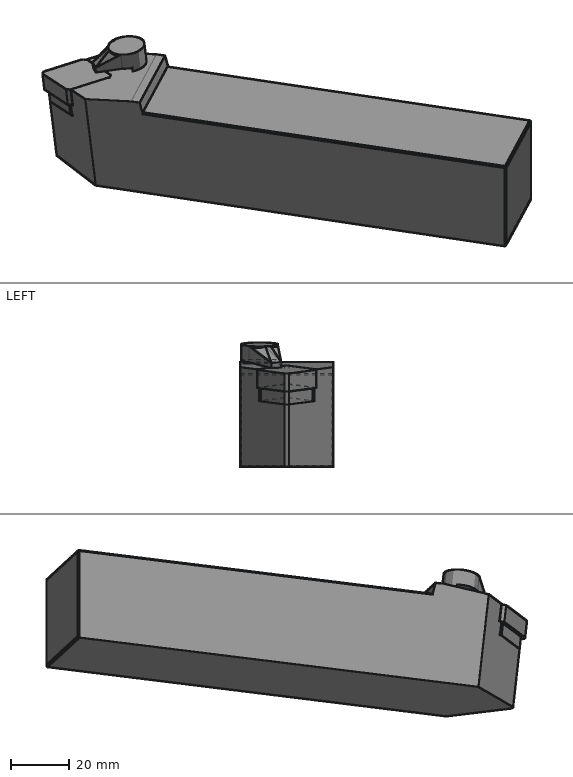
import cadquery as cq
import math

total_length = 169.5
shank_width = 32.0
shank_height = 32.0
head_flat_start = 36.0
head_step_top = 39.0
head_step_bottom = 40.0
shank_chamfer = 0.5

tilt = 6.3
tip_height = shank_height
nose_half_angle = 40.0
corner_half_flat = 0.76
clear_length = 84.8
holder_setback = 1.5

insert_center = 12.0
insert_thickness = 6.3
seat_thickness = 4.5

clamp_x = 28.0
clamp_y = 9.3
clamp_radius = 6.3
clamp_top = 7.0
clamp_bottom = 1.4
clamp_post_start = 31.0
post_depth = 1.7
finger_angles = (145.0, 198.0, 217.0, 268.0)
finger_tip_upper = (16.5, 5.3)
finger_tip_lower = (18.5, 1.9)
finger_tip_height = 1.9

nose_slope = math.tan(math.radians(nose_half_angle))
tilt_radians = math.radians(tilt)
head_height = tip_height + head_flat_start * math.tan(tilt_radians)
head_plane = cq.Plane(
    origin=(0, 0, tip_height),
    xDir=(math.cos(tilt_radians), 0, math.sin(tilt_radians)),
    normal=(-math.sin(tilt_radians), 0, math.cos(tilt_radians)),
)


def diamond(setback, thickness, top, blunt_sides=True):
    """Diamond plate in the head frame; its nose and heel are cut flat, its sides optionally."""
    half_length = insert_center - setback
    half_width = nose_slope * half_length + corner_half_flat
    side_cut = corner_half_flat if blunt_sides else 0.0
    side_y = half_width - side_cut
    side_x = side_cut / nose_slope
    sides = [(side_x, side_y), (-side_x, side_y)] if blunt_sides else [(0, side_y)]
    upper = [(half_length, corner_half_flat), *sides, (-half_length, corner_half_flat)]
    lower = [(x, -y) for x, y in reversed(upper)]
    points = [(x + insert_center, y) for x, y in upper + lower]
    return (
        cq.Workplane(head_plane).workplane(offset=top)
        .polyline(points).close().extrude(-thickness)
    )


def make_insert(blunt_sides=True):
    """Cutting plate and the narrower seat below it."""
    plate = diamond(0.0, insert_thickness, 0.0, blunt_sides)
    seat = diamond(holder_setback, seat_thickness, -insert_thickness, blunt_sides)
    return plate.union(seat)


def make_bar():
    """Square shank with the raised, tilted and pointed head."""
    slope_start_x = -clear_length
    slope_start_z = tip_height - clear_length * math.tan(tilt_radians)
    head = (
        cq.Workplane("XZ")
        .polyline([
            (slope_start_x, 0), (slope_start_x, slope_start_z), (head_flat_start, head_height),
            (head_step_top, head_height), (head_step_bottom, shank_height), (head_step_bottom, 0),
        ])
        .close().extrude(shank_width / 2, both=True)
    )
    shank = (
        cq.Workplane("XY")
        .box(total_length - head_step_bottom, shank_width, shank_height, centered=(False, True, False))
        .translate((head_step_bottom, 0, 0))
        .faces(">X or >Z").edges(">X or (|X and >Z)").chamfer(shank_chamfer)
    )
    return head.union(shank)


def make_nose_envelope():
    """Tilted wedge that bounds the pointed head."""
    shoulder_x = holder_setback + (shank_width - corner_half_flat) / nose_slope
    upper = [(holder_setback, corner_half_flat), (shoulder_x, shank_width), (2 * total_length, shank_width)]
    lower = [(x, -y) for x, y in reversed(upper)]
    return (
        cq.Workplane(head_plane).workplane(offset=-clear_length)
        .polyline(upper + lower).close().extrude(2 * clear_length)
    )


def solid_from_faces(faces):
    """Solid bounded by flat faces, given as lists of points in the head frame."""
    shell = cq.Shell.makeShell([
        cq.Face.makeFromWires(cq.Wire.makePolygon(
            [head_plane.toWorldCoords(point) for point in face], close=True))
        for face in faces
    ])
    return cq.Workplane(cq.Solid.makeSolid(shell).fix())


def make_finger():
    """Faceted finger from the clamp head down to the insert."""
    rim = [
        (clamp_x + clamp_radius * math.cos(math.radians(angle)),
         clamp_y + clamp_radius * math.sin(math.radians(angle)))
        for angle in finger_angles
    ]
    rim_a, rim_b, rim_c, rim_d = [(x, y, clamp_top) for x, y in rim]
    rim_a_low = (*rim[0], clamp_bottom)
    rim_d_low = (*rim[-1], clamp_bottom)
    tip_1 = (*finger_tip_upper, finger_tip_height)
    tip_2 = (*finger_tip_lower, finger_tip_height)
    tip_1_low = (*finger_tip_upper, 0)
    tip_2_low = (*finger_tip_lower, 0)
    return solid_from_faces([
        [rim_a, rim_b, rim_c, rim_d],
        [rim_a, rim_d, rim_d_low, rim_a_low],
        [rim_a, rim_b, tip_1],
        [rim_b, rim_c, tip_2],
        [rim_b, tip_2, tip_1],
        [rim_c, rim_d, tip_2],
        [rim_a, tip_1, rim_a_low],
        [tip_1, tip_1_low, rim_a_low],
        [rim_d, rim_d_low, tip_2],
        [tip_2, rim_d_low, tip_2_low],
        [tip_1, tip_2, tip_2_low, tip_1_low],
        [rim_a_low, tip_1_low, tip_2_low],
        [rim_a_low, tip_2_low, rim_d_low],
    ])


def make_clamp():
    """Round clamp head on a rear post, with its finger."""
    column = (
        cq.Workplane(head_plane).workplane(offset=-post_depth)
        .center(clamp_x, clamp_y).circle(clamp_radius).extrude(clamp_top + post_depth)
    )
    relief_length = 2 * clamp_radius
    relief = (
        cq.Workplane(head_plane).workplane(offset=-post_depth)
        .center(clamp_post_start - relief_length / 2, clamp_y)
        .rect(relief_length, 2 * relief_length).extrude(clamp_bottom + post_depth)
    )
    return column.cut(relief).union(make_finger())


def make_holder():
    """Bar with its pointed head, insert pocket and fixed clamp."""
    pocket = make_insert(blunt_sides=False)
    return make_bar().intersect(make_nose_envelope()).cut(pocket).union(make_clamp())


insert = make_insert()
holder = make_holder()
result = cq.Compound.makeCompound([holder.solids().val(), insert.solids().val()])